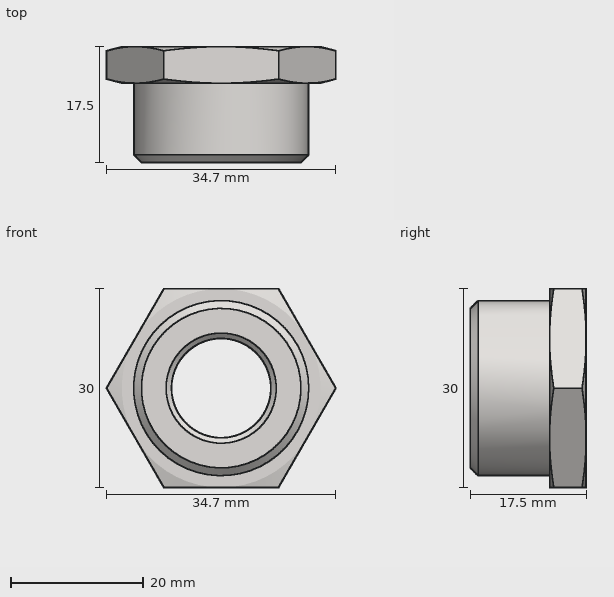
import cadquery as cq
import math

corner_diameter = 34.65
across_flats = corner_diameter * math.cos(math.radians(30))
head_thickness = 5.5
corner_chamfer_angle = 15.0

total_length = 17.5
shank_length = total_length - head_thickness
shank_diameter = 26.43
shank_chamfer = 1.18

bore_diameter = 14.95
bore_chamfer = 0.83


def make_head():
    """Hexagonal prism from Y = 0 to +Y, its corners turned conical on both faces."""
    hexagon = (
        cq.Workplane("XZ")
        .polygon(6, corner_diameter)
        .extrude(-head_thickness)
    )
    corner_radius = corner_diameter / 2
    flat_radius = across_flats / 2
    chamfer_depth = (corner_radius - flat_radius) * math.tan(math.radians(corner_chamfer_angle))
    envelope = (
        cq.Workplane("XY")
        .polyline([
            (0, 0),
            (flat_radius, 0),
            (corner_radius, chamfer_depth),
            (corner_radius, head_thickness - chamfer_depth),
            (flat_radius, head_thickness),
            (0, head_thickness),
        ])
        .close()
        .revolve(360, (0, 0, 0), (0, 1, 0))
    )
    return hexagon.intersect(envelope)


def make_shank():
    """Round shank with a chamfered free end."""
    return (
        cq.Workplane("XZ")
        .circle(shank_diameter / 2)
        .extrude(shank_length)
        .faces("<Y")
        .chamfer(shank_chamfer)
    )


def cut_bore(body):
    """Bore through the whole length and chamfer its mouth at the shank end."""
    bored = body.faces("<Y").workplane(centerOption="CenterOfBoundBox").hole(bore_diameter)
    return bored.faces("<Y").edges("%CIRCLE").edges(
        cq.selectors.RadiusNthSelector(0)
    ).chamfer(bore_chamfer)


result = cut_bore(make_head().union(make_shank()))